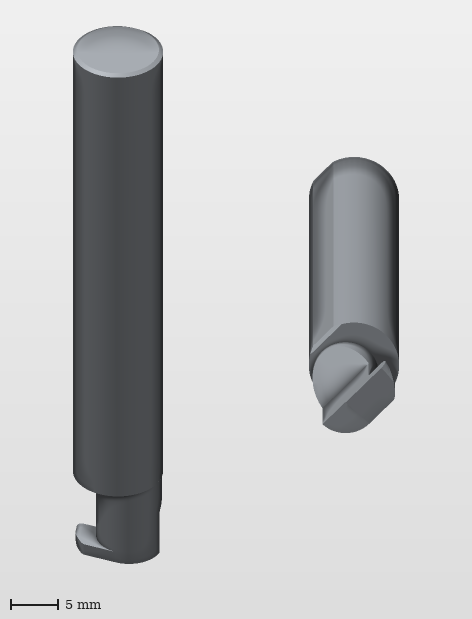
import cadquery as cq

total_length = 63.5
shank_diameter = 9.5
shank_radius = shank_diameter / 2
shank_bottom = 9.45
flat_y = 4.5
end_chamfer_width = 0.45
end_chamfer_height = 0.25
flat_edge_chamfer = 0.4

neck_radius = 3.5
neck_x = shank_radius - neck_radius
neck_bottom = 0.25
ramp_bottom = 5.45

tooth_top = 1.6
tooth_nose_radius = 0.75
nose_drift = 1.0
heel_start_x = -2.8
heel_start_y = -3.3
heel_end_x = -2.5
relief_mid_x = -4.05
relief_mid_y = -1.8


def make_shank():
    """Round shank with a lengthwise flat, bevelled at its lower end."""
    length = total_length - shank_bottom
    shank = (
        cq.Workplane("XY", origin=(0, 0, shank_bottom))
        .circle(shank_radius)
        .extrude(length)
        .faces(">Z")
        .edges()
        .chamfer(end_chamfer_height, end_chamfer_width)
    )
    side_profile = (
        cq.Workplane("YZ")
        .moveTo(-shank_radius, shank_bottom)
        .lineTo(flat_y - flat_edge_chamfer, shank_bottom)
        .lineTo(flat_y, shank_bottom + flat_edge_chamfer)
        .lineTo(flat_y, total_length)
        .lineTo(-shank_radius, total_length)
        .close()
        .extrude(shank_radius, both=True)
    )
    return shank.intersect(side_profile)


def make_neck():
    """Eccentric neck cut back to its rake face, with a 45 degree run-out."""
    neck = (
        cq.Workplane("XY", origin=(neck_x, 0, neck_bottom))
        .circle(neck_radius)
        .extrude(shank_bottom - neck_bottom)
    )
    ramp_top_y = shank_radius
    chip_space = (
        cq.Workplane("YZ")
        .moveTo(0, 0)
        .lineTo(0, ramp_bottom)
        .lineTo(ramp_top_y, ramp_bottom + ramp_top_y)
        .lineTo(ramp_top_y, 0)
        .close()
        .extrude(shank_diameter, both=True)
    )
    return neck.cut(chip_space)


def make_tooth():
    """Side-cutting tooth with a rounded nose, curved relief and bottom clearance."""
    plan = (
        cq.Workplane("XY")
        .moveTo(-shank_radius, 0)
        .threePointArc((relief_mid_x, relief_mid_y), (heel_start_x, heel_start_y))
        .lineTo(heel_end_x, -neck_radius)
        .lineTo(neck_x, -neck_radius)
        .lineTo(neck_x, 0)
        .close()
        .extrude(tooth_top)
    )
    straight_end_x = -shank_radius + tooth_nose_radius
    nose_outline = (
        cq.Workplane("XZ")
        .moveTo(shank_radius, 0)
        .lineTo(straight_end_x, 0)
        .radiusArc((-shank_radius, tooth_nose_radius), tooth_nose_radius)
        .lineTo(-shank_radius, tooth_top - tooth_nose_radius)
        .radiusArc((straight_end_x, tooth_top), tooth_nose_radius)
        .lineTo(shank_radius, tooth_top)
        .close()
        .val()
    )
    nose_direction = cq.Vector(nose_drift, -neck_radius, 0)
    nose = cq.Workplane(cq.Solid.extrudeLinear(nose_outline, [], nose_direction))
    clearance = (
        cq.Workplane("YZ")
        .moveTo(0, 0)
        .lineTo(-neck_radius, neck_bottom)
        .lineTo(-neck_radius, 0)
        .close()
        .extrude(shank_diameter, both=True)
    )
    return plan.intersect(nose).cut(clearance)


result = make_shank().union(make_neck()).union(make_tooth())